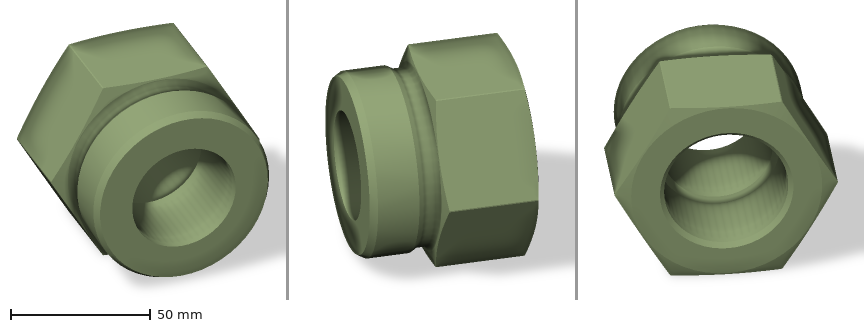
import cadquery as cq
import math

total_length = 62.0
hex_length = 36.0
thread_start = 44.0

across_flats = 70.0
corner_diameter = 80.57
hex_face_diameter = 69.0
hex_chamfer_angle = 15.0

thread_diameter = 68.0
undercut_diameter = 64.9
thread_chamfer_angle = 30.0
undercut_fillet = 1.7

through_diameter = 40.0
socket_diameter = 44.84
socket_mouth_diameter = 48.2
socket_depth = 28.5
socket_chamfer_angle = 45.0
socket_floor_angle = 70.0


def tan_deg(angle):
    return math.tan(math.radians(angle))


def revolve_about_x(profile):
    """Turn a closed (x, radius) profile in the XY plane about the X axis."""
    return profile.close().revolve(360, (0, 0, 0), (1, 0, 0))


def make_hexagon():
    """Hexagonal prism with corners on +/-Y, turned to a chamfered outline at both ends."""
    prism = (
        cq.Workplane("YZ")
        .polygon(6, across_flats / math.cos(math.pi / 6))
        .extrude(hex_length)
    )
    face_radius = hex_face_diameter / 2
    corner_radius = corner_diameter / 2
    chamfer_length = (corner_radius - face_radius) * tan_deg(hex_chamfer_angle)
    turned_outline = revolve_about_x(
        cq.Workplane("XY")
        .moveTo(0, 0)
        .lineTo(0, face_radius)
        .lineTo(chamfer_length, corner_radius)
        .lineTo(hex_length - chamfer_length, corner_radius)
        .lineTo(hex_length, face_radius)
        .lineTo(hex_length, 0)
    )
    return prism.intersect(turned_outline)


def make_threaded_end():
    """Cylinder behind the hexagon with a rounded undercut and 30 degree run-outs."""
    thread_radius = thread_diameter / 2
    undercut_radius = undercut_diameter / 2
    chamfer_length = (thread_radius - undercut_radius) / tan_deg(thread_chamfer_angle)

    slope_foot = thread_start - chamfer_length
    slope = math.radians(thread_chamfer_angle)
    tangent_length = undercut_fillet * math.tan(slope / 2)
    arc_start = slope_foot - tangent_length
    arc_end = (
        slope_foot + tangent_length * math.cos(slope),
        undercut_radius + tangent_length * math.sin(slope),
    )

    return revolve_about_x(
        cq.Workplane("XY")
        .moveTo(hex_length, 0)
        .lineTo(hex_length, undercut_radius + undercut_fillet)
        .radiusArc((hex_length + undercut_fillet, undercut_radius), -undercut_fillet)
        .lineTo(arc_start, undercut_radius)
        .radiusArc(arc_end, -undercut_fillet)
        .lineTo(thread_start, thread_radius)
        .lineTo(total_length - chamfer_length, thread_radius)
        .lineTo(total_length, undercut_radius)
        .lineTo(total_length, 0)
    )


def make_bore():
    """Through hole with a wider cone-bottomed socket and a chamfered mouth at the hexagon end."""
    through_radius = through_diameter / 2
    socket_radius = socket_diameter / 2
    mouth_radius = socket_mouth_diameter / 2
    mouth_length = (mouth_radius - socket_radius) / tan_deg(socket_chamfer_angle)
    floor_length = (socket_radius - through_radius) / tan_deg(socket_floor_angle)
    return revolve_about_x(
        cq.Workplane("XY")
        .moveTo(0, 0)
        .lineTo(0, mouth_radius)
        .lineTo(mouth_length, socket_radius)
        .lineTo(socket_depth, socket_radius)
        .lineTo(socket_depth + floor_length, through_radius)
        .lineTo(total_length, through_radius)
        .lineTo(total_length, 0)
    )


result = make_hexagon().union(make_threaded_end()).cut(make_bore())